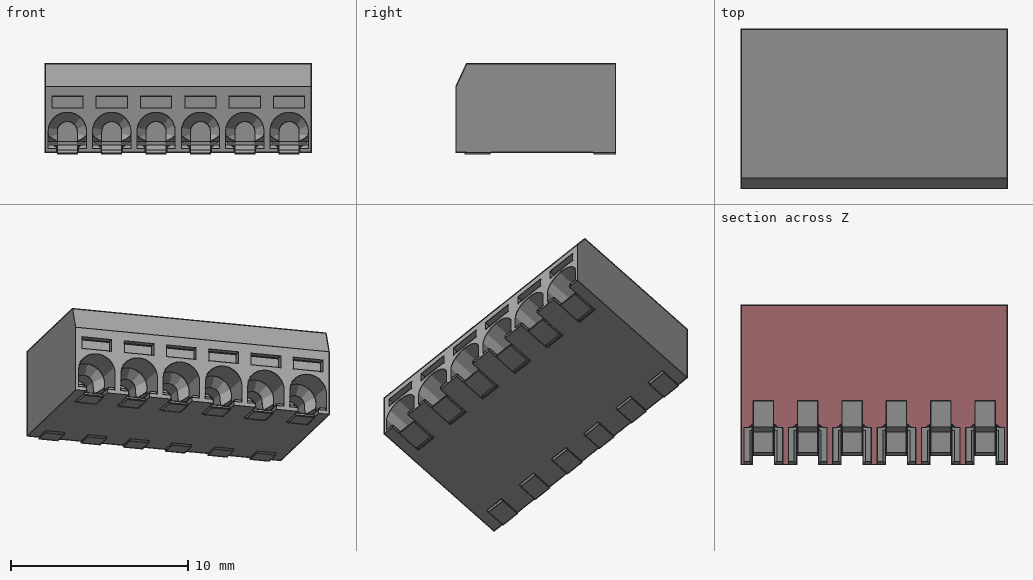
import cadquery as cq


length = 15.0
depth = 9.0
height = 5.0
bevel_depth = 0.6
bevel_height = 1.29

positions = 6
pitch = length / positions

window_width = 1.75
window_bottom = 2.49
window_height = 0.69
window_depth = 0.44
window_corner_drop = 0.05
window_corner_depth = 0.022

entry_radius = 1.08
entry_axis_z = 1.17
lip_height = 0.22
shelf_z = 0.4
wall_y = 2.12
step_z = 0.62
step_chamfer = 0.1
step_chamfer_end = 0.98
funnel_y = 1.94
undercut_rise = 0.3
bore_end_y = 3.6

slot_width = 1.23
contact_width = 1.12
bore_radius = contact_width / 2
foot_drop = 0.1
contact_top_z = 0.12
contact_front_y = 0.51
contact_front_z = -0.05
contact_bend_y = 1.89
contact_end_y = 2.4
rear_foot_length = 1.18


def prism(points, width):
    """Solid with the given (y, z) outline, centred on X = 0."""
    return cq.Workplane("YZ").polyline(points).close().extrude(width / 2, both=True)


def box(width, y_start, y_end, z_start, z_end):
    """Box centred on X = 0."""
    return prism([(y_start, z_start), (y_end, z_start), (y_end, z_end), (y_start, z_end)], width)


def arch(radius, y_start, y_end, floor_z):
    """Round-topped passage along Y, with straight sides down to floor_z."""
    passage = (
        cq.Workplane("XZ", origin=(0, y_start, 0))
        .moveTo(-radius, floor_z)
        .lineTo(-radius, entry_axis_z)
        .threePointArc((0, entry_axis_z + radius), (radius, entry_axis_z))
        .lineTo(radius, floor_z)
        .close()
    )
    return passage.extrude(y_start - y_end)


def window():
    """Shallow rectangular recess with its upper inner corner cut off."""
    top = window_bottom + window_height
    return prism(
        [
            (0, window_bottom),
            (window_depth, window_bottom),
            (window_depth, top - window_corner_drop),
            (window_depth - window_corner_depth, top),
            (0, top),
        ],
        window_width,
    )


def tunnel():
    """Arched tunnel, lowered in front by a sloping lip and rounded along its bottom."""
    lip_rise = shelf_z - lip_height
    lip = prism([(0, lip_height), (lip_rise, shelf_z), (0, shelf_z)], 2 * entry_radius)
    round_bottom = cq.Workplane("XZ").center(0, entry_axis_z).circle(entry_radius).extrude(-wall_y)
    low_space = box(2 * entry_radius, funnel_y, wall_y, shelf_z, step_z)
    floor_slot = box(slot_width, 0, wall_y, -foot_drop, step_z)
    return (
        arch(entry_radius, 0, funnel_y, shelf_z)
        .union(lip)
        .union(round_bottom.intersect(box(2 * entry_radius, 0, funnel_y, 0, entry_axis_z)))
        .union(low_space)
        .union(floor_slot)
    )


def funnel():
    """45 degree cone from the tunnel down to the wire bore, then the bore itself."""
    funnel_length = entry_radius - bore_radius
    cone = cq.Workplane(
        cq.Solid.makeCone(
            entry_radius,
            bore_radius,
            funnel_length,
            pnt=cq.Vector(0, funnel_y, entry_axis_z),
            dir=cq.Vector(0, 1, 0),
        )
    )
    cone = cone.intersect(box(2 * entry_radius, 0, depth, step_z, height))
    return cone.union(arch(bore_radius, funnel_y, bore_end_y, step_z))


def undercut():
    """Space below the funnel, with a 45 degree roof that falls toward the back."""
    return prism(
        [(funnel_y, step_z), (funnel_y + undercut_rise, step_z), (funnel_y, step_z + undercut_rise)],
        2 * entry_radius,
    )


def step_chamfers():
    """Chamfers on the step edge, on both sides of the wire bore."""
    outline = [(wall_y, step_z - step_chamfer), (wall_y + step_chamfer, step_z), (wall_y, step_z)]
    return prism(outline, 2 * step_chamfer_end).cut(prism(outline, 2 * bore_radius))


def contact():
    """Flat strip with a sloped front end, bent up at 45 degrees into the end wall."""
    bend_run = shelf_z - contact_top_z
    top_front_y = contact_front_y + contact_top_z - contact_front_z
    return prism(
        [
            (contact_front_y, -foot_drop),
            (contact_bend_y, -foot_drop),
            (contact_end_y, contact_end_y - contact_bend_y - foot_drop),
            (wall_y, shelf_z),
            (wall_y - bend_run, contact_top_z),
            (top_front_y, contact_top_z),
            (contact_front_y, contact_front_z),
        ],
        contact_width,
    )


def rear_foot():
    """Thin foot at the back of the underside with a 45 degree front end."""
    foot_front_y = depth - rear_foot_length
    return prism(
        [(depth, 0), (depth, -foot_drop), (foot_front_y, -foot_drop), (foot_front_y - foot_drop, 0)],
        contact_width,
    )


housing = prism(
    [
        (0, 0),
        (depth, 0),
        (depth, height),
        (bevel_depth, height),
        (0, height - bevel_height),
    ],
    length,
)

cavity_parts = [window(), tunnel(), funnel(), undercut(), step_chamfers()]
metal_parts = [contact(), rear_foot()]

result = housing
for index in range(positions):
    shift = ((index - (positions - 1) / 2) * pitch, 0, 0)
    for cavity in cavity_parts:
        result = result.cut(cavity.translate(shift))
    for metal in metal_parts:
        result = result.union(metal.translate(shift))